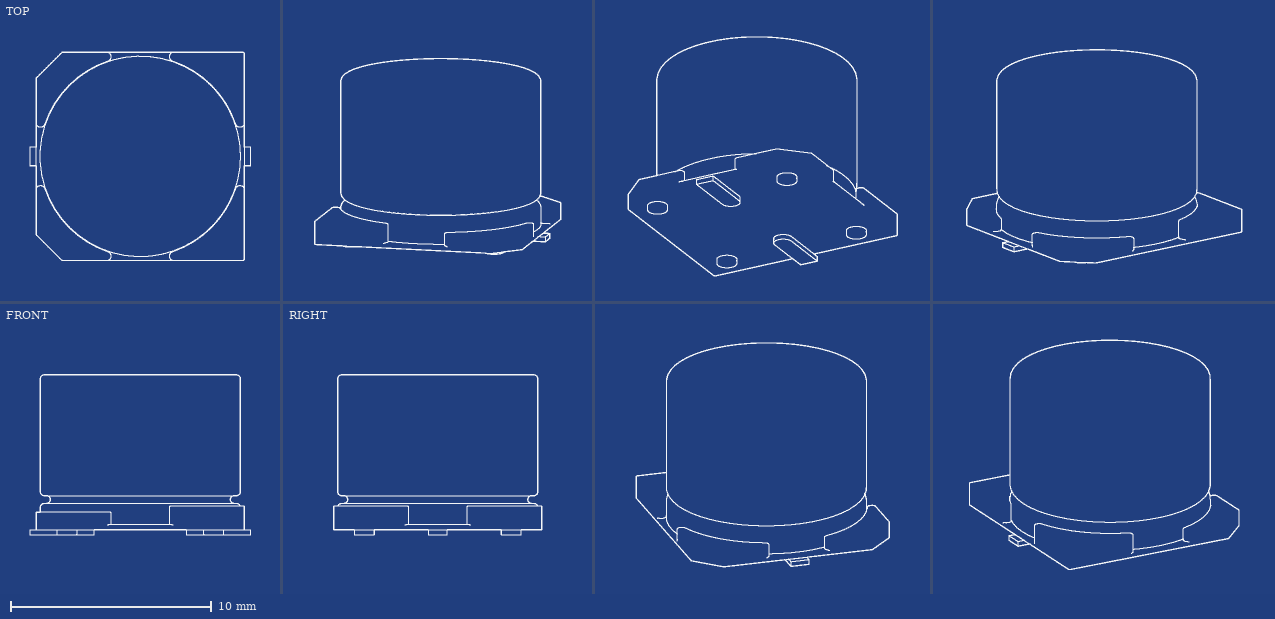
import cadquery as cq
base_width = 10.4
corner_chamfer = 1.3
standoff = 0.25
floor_top = 0.53
edge_round = 0.05
square_corner_round = 0.1

low_block_top = 1.14
high_block_top = 1.45
gap_half_width = 1.46
block_round = 0.2
seat_clearance = 0.02

can_radius = 10.0 / 2
can_top = 8.0
can_round = 0.21
groove_bottom = 1.58
groove_top = 1.96
groove_radius = 4.5

terminal_reach = 11 / 2
terminal_inner_end = 2.3
terminal_width = 0.95
pin_diameter = 1.0
pin_offset = 3.66
pin_round = 0.04

base_half = base_width / 2
groove_round = (groove_top - groove_bottom) / 2
groove_centre_radius = groove_radius + groove_round
seat_radius = can_radius + seat_clearance
plate_middle = (standoff + floor_top) / 2


def base_prism(bottom, top):
    """Square prism with both -X corners cut off and its upright edges rounded."""
    prism = (
        cq.Workplane("XY", origin=(0, 0, bottom))
        .rect(base_width, base_width)
        .extrude(top - bottom)
        .edges("|Z and <X")
        .chamfer(corner_chamfer)
    )
    prism = prism.edges("|Z and >X").fillet(square_corner_round)
    flat_ends = base_half - corner_chamfer
    cut_corner_edges = cq.selectors.BoxSelector(
        (-base_half - 0.11, -base_half - 0.11, bottom),
        (-flat_ends + 0.11, base_half + 0.11, top),
    )
    return prism.edges("|Z").edges(cut_corner_edges).fillet(edge_round)


def base_plate():
    """Thin plate under the can, rounded along its upper and lower rims."""
    return base_prism(standoff, floor_top).faces("<Z or >Z").edges().fillet(edge_round)


def corner_block(x_side, y_side, top):
    """Corner block with a curved inner wall that faces the can."""
    size = base_half - gap_half_width
    centre = gap_half_width + size / 2
    height = top - plate_middle
    quarter = (
        cq.Workplane("XY", origin=(x_side * centre, y_side * centre, plate_middle))
        .rect(size, size)
        .extrude(height)
    )
    seat = cq.Workplane("XY", origin=(0, 0, plate_middle)).circle(seat_radius).extrude(height)
    block = base_prism(plate_middle, top).intersect(quarter).cut(seat)

    x_end = block.faces("<X" if x_side > 0 else ">X").edges("|Z")
    y_end = block.faces("<Y" if y_side > 0 else ">Y").edges("|Z")
    block = x_end.add(y_end).fillet(block_round)
    return block.faces(">Z").edges().fillet(edge_round)


def can():
    """Revolved can with rounded rims and a round-bottomed crimp groove."""
    body = cq.Workplane("XY", origin=(0, 0, standoff)).circle(can_radius).extrude(can_top - standoff)
    slot = (
        cq.Workplane("XY", origin=(0, 0, groove_bottom))
        .circle(can_radius + 0.11)
        .circle(groove_centre_radius)
        .extrude(2 * groove_round)
    )
    slot_floor = cq.Solid.makeTorus(
        groove_centre_radius,
        groove_round,
        cq.Vector(0, 0, groove_bottom + groove_round),
    )
    body = body.cut(slot.union(cq.Workplane(slot_floor)))
    rims = body.edges("%CIRCLE and (not <Z)").edges(cq.selectors.RadiusNthSelector(-1))
    return rims.fillet(can_round)


def terminal(x_side):
    """Flat terminal with a rounded inner end."""
    round_centre = terminal_inner_end + terminal_width / 2
    length = terminal_reach - round_centre
    strip = (
        cq.Workplane("XY")
        .center(x_side * (round_centre + length / 2), 0)
        .rect(length, terminal_width)
        .extrude(standoff)
    )
    inner_end = (
        cq.Workplane("XY")
        .center(x_side * round_centre, 0)
        .circle(terminal_width / 2)
        .extrude(standoff)
    )
    return strip.union(inner_end)


def support_pin(x_side, y_side):
    """Short round foot with a softened lower rim."""
    pin = (
        cq.Workplane("XY")
        .center(x_side * pin_offset, y_side * pin_offset)
        .circle(pin_diameter / 2)
        .extrude(standoff)
    )
    return pin.faces("<Z").edges().fillet(pin_round)


result = base_plate().union(can())
for x_side, block_top in ((-1, low_block_top), (1, high_block_top)):
    result = result.union(terminal(x_side))
    for y_side in (-1, 1):
        result = result.union(corner_block(x_side, y_side, block_top))
        result = result.union(support_pin(x_side, y_side))